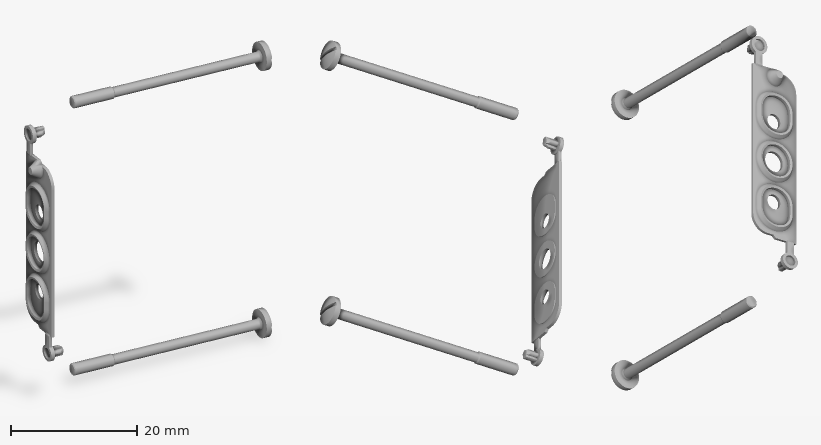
import cadquery as cq
import math


PLATE_THICKNESS = 0.5
PLATE_HEIGHT = 29.4
PLATE_WIDTH = 8.4
PLATE_CENTER_X = 0.08
CORNER_RADIUS = 2.9
EDGE_STEP = 0.45

RING_PITCH = 8.05
MIDDLE_RING_Z = -1.4
RING_HALF_WIDTH = 3.6
RING_HALF_HEIGHT = 4.05
RING_CORNER_RADIUS = 3.25
RING_HEIGHT = 0.7
CREST_INSET = 0.5
LIP_DROP = 0.1
RECESS_DIAMETER = 5.4
RECESS_INSET = RING_HALF_WIDTH - RECESS_DIAMETER / 2
PAD_HEIGHT = 0.15
FLOOR_HEIGHT = -0.1
MIDDLE_HOLE_DIAMETER = 3.4
OUTER_HOLE_DIAMETER = 2.5
OUTER_HOLE_SHIFT = 1.05

BOSS_Z = 13.25
BOSS_BASE_DIAMETER = 3.0
BOSS_TIP_DIAMETER = 1.25
BOSS_HEIGHT = 1.5

KNOB_SPAN = 9.0
TOP_KNOB_DIAMETER = 3.0
TOP_KNOB_Z = 18.05
BOTTOM_KNOB_WIDTH = 2.9
BOTTOM_KNOB_HEIGHT = 2.7
BOTTOM_KNOB_Z = -17.9
ARM_WIDTH = 1.25
ARM_X = 3.05
ARM_THICKNESS = 0.5
ARM_RISE = 0.15
ARM_RAMP_LENGTH = 0.25
KNOB_RIM_WIDTH = 0.495
KNOB_RECESS_DEPTH = 0.4

PIN_LENGTH = 2.0
PIN_DIAMETER = 1.75
PIN_ARM_WIDTH = 0.85
PIN_RIB_WIDTH = 0.5
PIN_TIP_CHAMFER = 0.3
PIN_TIP_LENGTH = 0.6

SCREW_SPAN = 51.9
HEAD_DIAMETER = 4.8
SCREW_Z = (SCREW_SPAN - HEAD_DIAMETER) / 2
SCREW_END_Y = 6.05
THREAD_LENGTH = 7.15
THREAD_DIAMETER = 2.0
THREAD_CHAMFER = 0.15
NECK_LENGTH = 0.2
SHANK_DIAMETER = 1.7
COLLAR_DIAMETER = 2.15
COLLAR_LENGTH = 0.3
HEAD_UNDERSIDE_Y = 40.1
RIM_LENGTH = 1.0
DOME_HEIGHT = 0.5
SLOT_WIDTH = 0.6
SLOT_DEPTH = 0.7


def plane_at(height):
    """Workplane facing -Y, with local x along X and local y along Z."""
    return cq.Workplane("XZ").workplane(offset=height)


def cylinder(x, z, diameter, bottom, top):
    return plane_at(bottom).center(x, z).circle(diameter / 2).extrude(top - bottom)


def make_plate_blank(bottom, top):
    """Plate outline with two rounded corners and a small step in each end edge."""
    half_width = PLATE_WIDTH / 2
    half_height = PLATE_HEIGHT / 2
    half_step = EDGE_STEP / 2
    low_edge = half_height - EDGE_STEP
    return (
        plane_at(bottom)
        .center(PLATE_CENTER_X, 0)
        .moveTo(-half_width, half_height)
        .lineTo(-half_step, half_height)
        .lineTo(half_step, low_edge)
        .lineTo(half_width - CORNER_RADIUS, low_edge)
        .radiusArc((half_width, low_edge - CORNER_RADIUS), CORNER_RADIUS)
        .lineTo(half_width, -half_height)
        .lineTo(half_step, -half_height)
        .lineTo(-half_step, -low_edge)
        .lineTo(CORNER_RADIUS - half_width, -low_edge)
        .radiusArc((-half_width, CORNER_RADIUS - low_edge), CORNER_RADIUS)
        .close()
        .extrude(top - bottom)
    )


def draw_long_outline(sketch, inset):
    """Straight sides and large end arcs about the ring center, joined by tangent corner arcs."""
    side = RING_HALF_WIDTH - inset
    end = RING_HALF_HEIGHT - inset
    corner = RING_CORNER_RADIUS - inset
    corner_x = side - corner
    corner_z = math.sqrt((end - corner) ** 2 - corner_x ** 2)
    angle = math.atan2(corner_z, corner_x)
    tangent_x = end * math.cos(angle)
    tangent_z = end * math.sin(angle)
    middle_x = corner_x + corner * math.cos(angle / 2)
    middle_z = corner_z + corner * math.sin(angle / 2)
    return (
        sketch
        .moveTo(side, -corner_z)
        .lineTo(side, corner_z)
        .threePointArc((middle_x, middle_z), (tangent_x, tangent_z))
        .threePointArc((0, end), (-tangent_x, tangent_z))
        .threePointArc((-middle_x, middle_z), (-side, corner_z))
        .lineTo(-side, -corner_z)
        .threePointArc((-middle_x, -middle_z), (-tangent_x, -tangent_z))
        .threePointArc((0, -end), (tangent_x, -tangent_z))
        .threePointArc((middle_x, -middle_z), (side, -corner_z))
        .close()
    )


def draw_round_outline(sketch, inset):
    return sketch.circle(RING_HALF_WIDTH - inset)


def tapered_solid(draw_outline, z, bottom, bottom_inset, top, top_inset):
    """Solid with straight sides between two insets of one ring outline."""
    sketch = draw_outline(plane_at(bottom).center(0, z), bottom_inset)
    sketch = draw_outline(sketch.workplane(offset=top - bottom), top_inset)
    return sketch.loft(ruled=True)


def add_ring(plate, draw_outline, z, hole_z, hole_diameter):
    back = -PLATE_THICKNESS - PAD_HEIGHT
    ring = tapered_solid(draw_outline, z, 0, 0, RING_HEIGHT, CREST_INSET)
    pad = tapered_solid(draw_outline, z, back, CREST_INSET, 0, CREST_INSET)
    lip_height = RING_HEIGHT - LIP_DROP
    lip = tapered_solid(draw_outline, z, lip_height, RECESS_INSET, RING_HEIGHT, CREST_INSET)
    recess = tapered_solid(draw_outline, z, FLOOR_HEIGHT, RECESS_INSET, RING_HEIGHT, RECESS_INSET)
    hole = cylinder(0, hole_z, hole_diameter, back, RING_HEIGHT)
    return plate.union(pad).union(ring).cut(lip).cut(recess).cut(hole)


def make_boss():
    """Truncated cone, trimmed where it would overhang the plate edge."""
    cone = (
        plane_at(0)
        .center(0, BOSS_Z)
        .circle(BOSS_BASE_DIAMETER / 2)
        .workplane(offset=BOSS_HEIGHT)
        .circle(BOSS_TIP_DIAMETER / 2)
        .loft(ruled=True)
    )
    return cone.intersect(make_plate_blank(0, BOSS_HEIGHT))


def make_pin_envelope():
    """Round bar along -Y from its tapered tip at the origin."""
    radius = PIN_DIAMETER / 2
    return (
        cq.Workplane("XY")
        .lineTo(radius - PIN_TIP_CHAMFER, 0)
        .lineTo(radius, -PIN_TIP_LENGTH)
        .lineTo(radius, -PIN_LENGTH)
        .lineTo(0, -PIN_LENGTH)
        .close()
        .revolve(360, (0, 0), (0, 1))
    )


def make_pin(x, z, outward):
    """Cross-shaped pin: two round-ended side arms, an outward arm and a narrow rib toward the plate.

    All arms taper at the tip except the outward one.
    """
    root = -PLATE_THICKNESS
    tip = root - PIN_LENGTH
    reach = PIN_DIAMETER / 2
    side_arms = plane_at(tip).center(x, z).slot2D(PIN_DIAMETER, PIN_ARM_WIDTH).extrude(PIN_LENGTH)
    rib = (
        plane_at(tip)
        .center(x, z - outward * reach / 2)
        .rect(PIN_RIB_WIDTH, reach)
        .extrude(PIN_LENGTH)
    )
    outward_arm = (
        plane_at(tip)
        .center(x, z + outward * reach / 2)
        .rect(PIN_ARM_WIDTH, reach)
        .extrude(PIN_LENGTH)
        .intersect(cylinder(x, z, PIN_DIAMETER, tip, root))
    )
    envelope = make_pin_envelope().translate((x, -tip, z))
    return side_arms.union(rib).intersect(envelope).union(outward_arm)


def make_arm(outward, knob_z):
    """Arm from the plate to a knob, with a ramp where it runs out on the plate."""
    edge_z = outward * PLATE_HEIGHT / 2
    back = ARM_RISE - ARM_THICKNESS
    profile = (
        cq.Workplane("YZ")
        .moveTo(-back, edge_z - outward * ARM_RAMP_LENGTH)
        .lineTo(0, edge_z - outward * ARM_RAMP_LENGTH)
        .lineTo(-ARM_RISE, edge_z)
        .lineTo(-ARM_RISE, knob_z)
        .lineTo(-back, knob_z)
        .close()
    )
    return profile.extrude(ARM_WIDTH / 2, both=True).translate((-outward * ARM_X, 0, 0))


def oval_disc(x, z, width, height, bottom, top):
    return plane_at(bottom).center(x, z).ellipse(width / 2, height / 2).extrude(top - bottom)


def add_knob(plate, outward, z, width, height):
    """Knob with its arm, front recess and rear pin; outward is the sign of its Z direction."""
    x = -outward * (KNOB_SPAN - width) / 2
    recess_width = width - 2 * KNOB_RIM_WIDTH
    recess_height = height - 2 * KNOB_RIM_WIDTH
    recess_floor = ARM_RISE - KNOB_RECESS_DEPTH
    knob = oval_disc(x, z, width, height, -PLATE_THICKNESS, ARM_RISE)
    recess = oval_disc(x, z, recess_width, recess_height, recess_floor, ARM_RISE)
    with_knob = plate.union(make_arm(outward, z)).union(knob).cut(recess)
    return with_knob.union(make_pin(x, z, outward))


def make_plate():
    plate = make_plate_blank(-PLATE_THICKNESS, 0)
    plate = add_ring(plate, draw_round_outline, MIDDLE_RING_Z, MIDDLE_RING_Z, MIDDLE_HOLE_DIAMETER)
    for side in (1, -1):
        ring_z = MIDDLE_RING_Z + side * RING_PITCH
        hole_z = ring_z - side * OUTER_HOLE_SHIFT
        plate = add_ring(plate, draw_long_outline, ring_z, hole_z, OUTER_HOLE_DIAMETER)
    plate = plate.union(make_boss())
    plate = add_knob(plate, 1, TOP_KNOB_Z, TOP_KNOB_DIAMETER, TOP_KNOB_DIAMETER)
    return add_knob(plate, -1, BOTTOM_KNOB_Z, BOTTOM_KNOB_WIDTH, BOTTOM_KNOB_HEIGHT)


def make_screw(z):
    """Slotted dome-head screw along Y, with its head on the +Y end."""
    thread_start = SCREW_END_Y + THREAD_LENGTH
    rim_top = HEAD_UNDERSIDE_Y + RIM_LENGTH
    head_top = rim_top + DOME_HEIGHT
    head_radius = HEAD_DIAMETER / 2
    dome_radius = (head_radius ** 2 + DOME_HEIGHT ** 2) / (2 * DOME_HEIGHT)
    body = (
        cq.Workplane("XY")
        .moveTo(0, SCREW_END_Y)
        .lineTo(THREAD_DIAMETER / 2 - THREAD_CHAMFER, SCREW_END_Y)
        .lineTo(THREAD_DIAMETER / 2, SCREW_END_Y + THREAD_CHAMFER)
        .lineTo(THREAD_DIAMETER / 2, thread_start)
        .lineTo(SHANK_DIAMETER / 2, thread_start + NECK_LENGTH)
        .lineTo(SHANK_DIAMETER / 2, HEAD_UNDERSIDE_Y - COLLAR_LENGTH)
        .lineTo(COLLAR_DIAMETER / 2, HEAD_UNDERSIDE_Y)
        .lineTo(head_radius, HEAD_UNDERSIDE_Y)
        .lineTo(head_radius, rim_top)
        .radiusArc((0, head_top), -dome_radius)
        .close()
        .revolve(360, (0, 0), (0, 1))
    )
    slot = (
        cq.Workplane("XY")
        .box(HEAD_DIAMETER, SLOT_DEPTH, SLOT_WIDTH)
        .translate((0, head_top - SLOT_DEPTH / 2, 0))
    )
    return body.cut(slot).translate((0, 0, z))


plate = make_plate()
screws = [make_screw(side * SCREW_Z) for side in (1, -1)]

result = cq.Compound.makeCompound([plate.val(), *[screw.val() for screw in screws]])